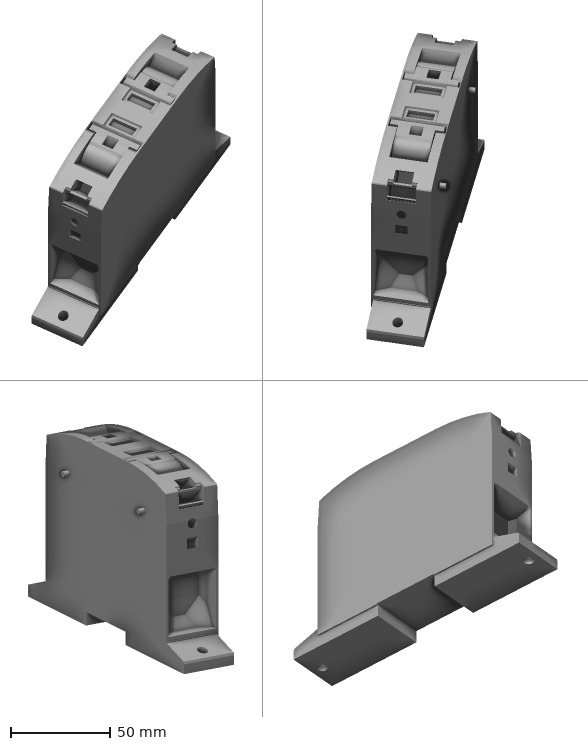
import cadquery as cq
import math

SIGNS = (-1, 1)

half_width = 15.4
half_length = 75.2
wall_y = 58.2
height = 97.7
crown_flat_y = 20.5
crown_end_y, crown_end_z = 56.7, 90.8
shoulder_y, shoulder_z = 57.2, 90.3
taper_start_z = 74.3
rail_slot_half = 19.0
rail_slot_height = 7.0

base_right_x = 14.3
base_top_z = 14.7
flange_root_z = 11.7
root_ledge_y, root_ledge_z = 0.3, 0.6
flange_tip_z = 6.5
flange_bevel_y, flange_bevel_z = 0.5, 1.4
mount_hole_radius = 2.7
mount_hole_y = 68.8
skirt_bottom_z = 6.6

entry_half_width = 14.0
entry_top_z = 46.7
entry_back_y = 45.5
entry_back_half = 11.7
entry_back_top_z = 42.7
entry_taper_y = 48.9
entry_corner = 1.2
hopper_top_z = 29.2
hopper_throat = (3.5, 45.9, 20.5)
hopper_toe = (6.8, 50.9, base_top_z)

screw_hole_radius = 2.7
screw_hole_z = 72.8
screw_hole_depth = 9.0
screw_hole_tilt = 45
release_half_width = 3.3
release_bottom_z, release_top_z = 59.6, 65.3
release_depth, release_drop = 4.5, 3.9

notch_half_width = 7.5
notch_steps = [(53.7, 91.4), (54.3, 90.6), (54.3, 88.5), (56.5, 83.1), (57.0, 82.6), (57.6, 81.3)]
notch_grooves = [(notch_steps[2], notch_steps[3]), (notch_steps[4], notch_steps[5])]
notch_groove_depth = 9.0
narrow_half_width = 4.8
narrow_y, narrow_z = 48.2, 93.6
ridge_y, ridge_z = 53.0, 89.5

window_half_width = 8.9
window_inner_y, window_outer_y = 4.8, 13.8
window_depth = 0.9
window_rim = 1.8
window_well_depth = 3.0
window_draft = 30
window_well_draft = 10

well_shift_x = -0.3
well_floor_z = 86.5
well_stem_half = 10.0
well_arm_half = 14.7
well_arm_outer_y = 21.4
well_arm_depth = 1.5
well_top_end_y, well_top_end_z = 41.4, 95.4
well_bottom_end_y = 33.0
seam_y, seam_z = 14.7, 96.3
lever_top_z = 97.4
lever_stem_half = 9.5
lever_arm_half = 13.8
lever_inner_y = 15.8
lever_arm_outer_y = 19.3
lever_flat_end_y = 20.8
lever_ramp_end_y, lever_ramp_end_z = 25.3, 96.9
lever_nose_y, lever_nose_z = 26.6, 96.2
lever_nose_middle = (33.1, 93.5)
lever_nose_tip = (35.5, 89.4)
lever_window_half = 3.2
lever_window_inner_y, lever_window_outer_y = 18.0, 24.5
lever_window_depth = 9.0

pin_radius = 1.5
pin_y, pin_z = 36.3, 76.0
pin_protrusion = 3.3
pin_depth = 6.0

clearance = 7.5
above_z = height + clearance
beyond_y = wall_y + clearance

crown_run = crown_end_y - crown_flat_y
crown_drop = height - crown_end_z
crown_radius = (crown_run**2 + crown_drop**2) / (2 * crown_drop)
crown_half_angle = math.asin(crown_run / crown_radius) / 2
crown_mid_y = crown_flat_y + crown_radius * math.sin(crown_half_angle)
crown_mid_z = height - crown_radius * (1 - math.cos(crown_half_angle))


def side_plate(points, x_min, x_max):
    """A (y, z) outline extruded from x_min to x_max."""
    return cq.Workplane("YZ", origin=(x_min, 0, 0)).polyline(points).close().extrude(x_max - x_min)


def block(x_min, x_max, y_min, y_max, z_min, z_max):
    box = cq.Workplane("XY").box(x_max - x_min, y_max - y_min, z_max - z_min, centered=False)
    return box.translate((x_min, y_min, z_min))


def at_both_ends(shape):
    """The shape as drawn at the +Y end, with its mirror image at -Y."""
    return shape.union(shape.mirror("XZ"))


def tower(x_min, x_max):
    """The upright housing with its crowned top, from the underside up."""
    return (
        cq.Workplane("YZ", origin=(x_min, 0, 0))
        .moveTo(-crown_flat_y, height)
        .lineTo(crown_flat_y, height)
        .tangentArcPoint((crown_end_y, crown_end_z), relative=False)
        .lineTo(shoulder_y, shoulder_z)
        .lineTo(wall_y, taper_start_z)
        .lineTo(wall_y, 0)
        .lineTo(-wall_y, 0)
        .lineTo(-wall_y, taper_start_z)
        .lineTo(-shoulder_y, shoulder_z)
        .lineTo(-crown_end_y, crown_end_z)
        .threePointArc((-crown_mid_y, crown_mid_z), (-crown_flat_y, height))
        .close()
        .extrude(x_max - x_min)
    )


def base():
    """Foot with both sloping mounting flanges and their screw holes."""
    right_side = [
        (half_length, 0),
        (half_length, flange_tip_z - flange_bevel_z),
        (half_length - flange_bevel_y, flange_tip_z),
        (wall_y + root_ledge_y, flange_root_z),
        (wall_y + root_ledge_y, flange_root_z + root_ledge_z),
        (wall_y, flange_root_z + root_ledge_z),
        (wall_y, base_top_z),
    ]
    left_side = [(-y, z) for y, z in reversed(right_side)]
    body = side_plate(right_side + left_side, -half_width, base_right_x)
    hole_x = (base_right_x - half_width) / 2
    holes = (
        cq.Workplane("XY")
        .pushPoints([(hole_x, end * mount_hole_y) for end in SIGNS])
        .circle(mount_hole_radius)
        .extrude(base_top_z)
    )
    return body.cut(holes)


def rail_slot():
    return block(-half_width, half_width, -rail_slot_half, rail_slot_half, 0, rail_slot_height)


def fill_under(a, b, c):
    """Large block under the plane through three points."""
    pa, pb, pc = cq.Vector(*a), cq.Vector(*b), cq.Vector(*c)
    normal = (pb - pa).cross(pc - pa)
    if normal.z > 0:
        normal = -normal
    plane = cq.Plane(origin=a, normal=normal)
    return cq.Workplane(plane).rect(half_length, half_length).extrude(half_length)


def wire_entry():
    """Tapered pocket whose bottom narrows like a hopper."""
    plan = [
        (-entry_half_width, beyond_y),
        (-entry_half_width, entry_taper_y),
        (-entry_back_half, entry_back_y),
        (entry_back_half, entry_back_y),
        (entry_half_width, entry_taper_y),
        (entry_half_width, beyond_y),
    ]
    pocket = (
        cq.Workplane("XY", origin=(0, 0, base_top_z))
        .polyline(plan)
        .close()
        .extrude(entry_top_z - base_top_z)
    )
    outer_top_edges = cq.selectors.BoxSelector(
        (-half_length, entry_taper_y, entry_top_z - entry_corner),
        (half_length, beyond_y, entry_top_z + entry_corner),
    )
    pocket = pocket.edges("|Y").edges(outer_top_edges).chamfer(entry_corner)
    ceiling = side_plate(
        [(entry_back_y, entry_back_top_z), (wall_y, entry_top_z), (entry_back_y, entry_top_z)],
        -half_width,
        half_width,
    )
    pocket = pocket.cut(ceiling)
    mirrored_throat = (-hopper_throat[0], *hopper_throat[1:])
    back_corners = [(side * entry_back_half, entry_back_y, hopper_top_z) for side in SIGNS]
    pocket = pocket.cut(fill_under(*back_corners, hopper_throat))
    pocket = pocket.cut(fill_under(hopper_throat, mirrored_throat, hopper_toe))
    for side, back_corner in zip(SIGNS, back_corners):
        throat = (side * hopper_throat[0], *hopper_throat[1:])
        toe = (side * hopper_toe[0], *hopper_toe[1:])
        pocket = pocket.cut(fill_under(back_corner, throat, toe))
    return pocket


def screw_hole():
    """Round hole that runs inward and down, with a round mouth in the wall."""
    drop = screw_hole_depth * math.tan(math.radians(screw_hole_tilt))
    mouth = cq.Workplane("XZ", origin=(0, wall_y, screw_hole_z)).circle(screw_hole_radius)
    path = cq.Workplane("YZ").moveTo(wall_y, screw_hole_z).line(-screw_hole_depth, -drop)
    return mouth.sweep(path)


def slanted_groove(upper, lower, depth, drop, half_wide):
    """Groove that runs inward and down from a mouth between two (y, z) points."""
    inner_lower = (lower[0] - depth, lower[1] - drop)
    inner_upper = (upper[0] - depth, upper[1] - drop)
    return side_plate([upper, lower, inner_lower, inner_upper], -half_wide, half_wide)


def release_slot():
    return slanted_groove(
        (wall_y, release_top_z),
        (wall_y, release_bottom_z),
        release_depth,
        release_drop,
        release_half_width,
    )


def marker_notch():
    """Steps cut down across the shoulder, with slanted grooves behind them."""
    top_y = notch_steps[0][0]
    bottom_z = notch_steps[-1][1]
    outline = [(top_y, above_z), *notch_steps, (beyond_y, bottom_z), (beyond_y, above_z)]
    notch = side_plate(outline, -notch_half_width, notch_half_width)
    for upper, lower in notch_grooves:
        groove = slanted_groove(upper, lower, notch_groove_depth, notch_groove_depth, notch_half_width)
        notch = notch.union(groove)
    rise = above_z - narrow_z
    narrow_outline = [
        (narrow_y + rise, above_z),
        (narrow_y, narrow_z),
        (narrow_y - notch_groove_depth, narrow_z - notch_groove_depth),
        (ridge_y - notch_groove_depth, ridge_z - notch_groove_depth),
        (ridge_y, ridge_z),
        (top_y + rise, ridge_z),
        (top_y + rise, above_z),
    ]
    return notch.union(side_plate(narrow_outline, -narrow_half_width, narrow_half_width))


def label_window():
    """Pocket with drafted walls and a deeper middle."""
    length = 2 * window_half_width
    width = window_outer_y - window_inner_y
    middle_y = (window_inner_y + window_outer_y) / 2
    top = cq.Workplane("XY", origin=(0, middle_y, height))
    shelf = top.rect(length, width).extrude(-window_depth, taper=window_draft)
    well = (
        top.rect(length - 2 * window_rim, width - 2 * window_rim)
        .extrude(-window_well_depth, taper=window_well_draft)
    )
    return shelf.union(well)


def lever_well():
    """T-shaped well with a sloping outer wall."""
    slope = (well_top_end_z - well_floor_z) / (well_top_end_y - well_bottom_end_y)
    stem = side_plate(
        [
            (seam_y, well_floor_z),
            (well_bottom_end_y, well_floor_z),
            (well_bottom_end_y + (above_z - well_floor_z) / slope, above_z),
            (window_outer_y, above_z),
            (window_outer_y, height),
            (seam_y, seam_z),
        ],
        -well_stem_half,
        well_stem_half,
    )
    arms = side_plate(
        [
            (seam_y, well_floor_z),
            (lever_arm_outer_y, well_floor_z),
            (lever_arm_outer_y, height - well_arm_depth),
            (well_arm_outer_y, height),
            (well_arm_outer_y, above_z),
            (window_outer_y, above_z),
            (window_outer_y, height),
            (seam_y, seam_z),
        ],
        -well_arm_half,
        well_arm_half,
    )
    return stem.union(arms).translate((well_shift_x, 0, 0))


def lever():
    """T-shaped lever with a rounded nose and a sloping window through its top."""
    stem = (
        cq.Workplane("YZ", origin=(-lever_stem_half, 0, 0))
        .moveTo(lever_inner_y, lever_top_z)
        .lineTo(lever_flat_end_y, lever_top_z)
        .lineTo(lever_ramp_end_y, lever_ramp_end_z)
        .lineTo(lever_nose_y, lever_nose_z)
        .threePointArc(lever_nose_middle, lever_nose_tip)
        .lineTo(well_bottom_end_y, well_floor_z)
        .lineTo(seam_y, well_floor_z)
        .lineTo(seam_y, seam_z)
        .close()
        .extrude(2 * lever_stem_half)
    )
    arms = side_plate(
        [
            (seam_y, well_floor_z),
            (lever_arm_outer_y, well_floor_z),
            (lever_arm_outer_y, lever_top_z),
            (lever_inner_y, lever_top_z),
            (seam_y, seam_z),
        ],
        -lever_arm_half,
        lever_arm_half,
    )
    window = side_plate(
        [
            (lever_window_inner_y, lever_top_z),
            (lever_window_outer_y, lever_top_z - lever_window_depth),
            (lever_window_outer_y, lever_top_z),
        ],
        well_shift_x - lever_window_half,
        well_shift_x + lever_window_half,
    )
    return stem.union(arms).cut(window)


def pin(end):
    """Side pin set in a blind bore of the left half."""
    return (
        cq.Workplane("YZ", origin=(-half_width - pin_protrusion, end * pin_y, pin_z))
        .circle(pin_radius)
        .extrude(pin_protrusion + pin_depth)
    )


def carve(half):
    """Cut every recess of the housing out of one half."""
    for recess in (wire_entry, screw_hole, release_slot, marker_notch, label_window, lever_well):
        half = half.cut(at_both_ends(recess()))
    return half.cut(rail_slot())


def left_half():
    half = carve(tower(-half_width, 0).union(base()))
    for end in SIGNS:
        half = half.cut(pin(end))
    return half


def right_half():
    """Upper right side, with a thin skirt hanging down beside the base."""
    under_body = block(0, base_right_x, -wall_y, wall_y, 0, base_top_z)
    under_skirt = block(base_right_x, half_width, -wall_y, wall_y, 0, skirt_bottom_z)
    return carve(tower(0, half_width).cut(under_body).cut(under_skirt))


housing_left = left_half()
housing_right = right_half()
levers = [lever(), lever().mirror("XZ")]
pins = [pin(end) for end in SIGNS]

bodies = [housing_left, housing_right, *levers, *pins]
result = cq.Compound.makeCompound([body.solids().val() for body in bodies])